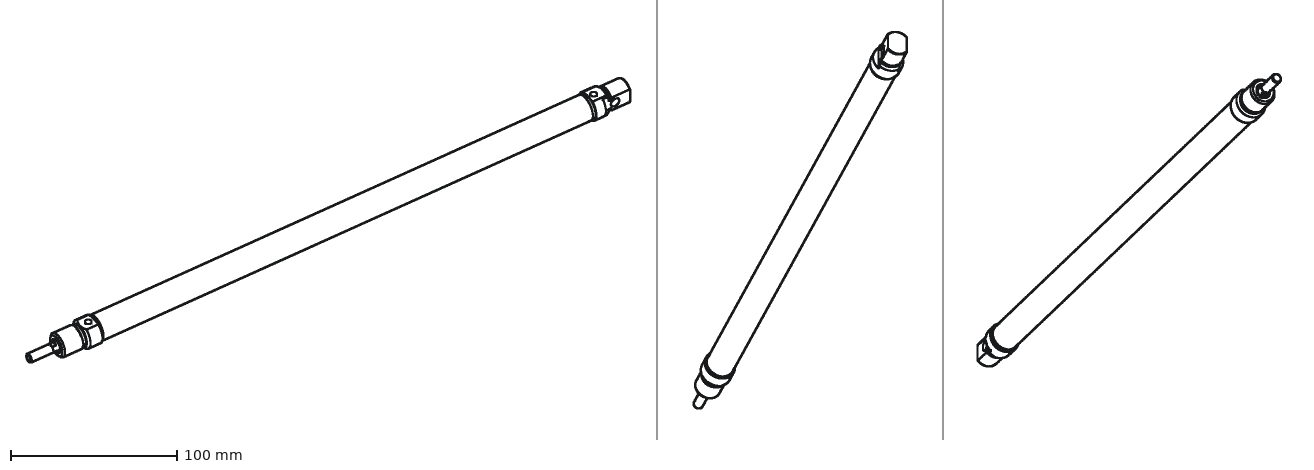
import cadquery as cq


total_length = 429.0
boss_front_y = 20.0
boss_length = 14.2
front_relief_length = 2.6
front_cap_length = 10.4
front_collar_length = 1.2
rear_shank_length = 13.6
rear_relief_length = 1.8
rear_cap_length = 11.2
rear_collar_length = 2.0

front_relief_y = boss_front_y + boss_length
front_cap_y = front_relief_y + front_relief_length
front_collar_y = front_cap_y + front_cap_length
barrel_front_y = front_collar_y + front_collar_length
rear_shank_y = total_length - rear_shank_length
rear_relief_y = rear_shank_y - rear_relief_length
rear_cap_y = rear_relief_y - rear_cap_length
barrel_rear_y = rear_cap_y - rear_collar_length

cap_diameter = 19.0
collar_diameter = 17.2
barrel_diameter = 17.27
boss_diameter = 16.0
relief_diameter = 13.7
cap_chamfer = 1.6

cap_flat_height = 8.0
port_diameter = 4.13
port_depth = 5.0
front_port_y = front_cap_y + 6.2
rear_port_y = rear_cap_y + 4.2

boss_chamfer = 1.2
mouth_steps = [(9.0, 0.8), (7.1, 1.6)]

rod_diameter = 6.0
thread_diameter = 5.9
thread_length = 16.0
thread_chamfer = 0.5
wrench_flat_width = 5.0
wrench_flat_length = 2.8

tongue_width = 12.0
tongue_length = 19.8
pivot_hole_diameter = 6.0
pivot_hole_inset = 10.9
shank_chamfer = 0.4


def cylinder(diameter, start_y, length):
    """Solid cylinder on the Y axis, from start_y towards +Y."""
    plane = cq.Workplane("XZ", origin=(0, start_y, 0))
    return plane.circle(diameter / 2).extrude(-length)


def cap_block(start_y, length, port_y, outer_end):
    """Round cap, chamfered at its outer end, with a flat and an air port on top."""
    block = cylinder(cap_diameter, start_y, length).faces(outer_end).chamfer(cap_chamfer)
    flat = cq.Workplane("XY", origin=(0, start_y + length / 2, cap_flat_height))
    block = block.cut(flat.rect(cap_diameter, length).extrude(cap_diameter))
    port = cq.Workplane("XY", origin=(0, port_y, cap_flat_height))
    return block.cut(port.circle(port_diameter / 2).extrude(-port_depth))


def make_front_cap():
    """Front cap with mounting boss, relief groove, barrel collar and rod bore."""
    boss = cylinder(boss_diameter, boss_front_y, boss_length).faces("<Y").chamfer(boss_chamfer)
    cap = cap_block(front_cap_y, front_cap_length, front_port_y, "<Y")
    cap = cap.union(boss)
    cap = cap.union(cylinder(relief_diameter, front_relief_y, front_relief_length))
    cap = cap.union(cylinder(collar_diameter, front_collar_y, front_collar_length))
    for diameter, depth in mouth_steps:
        cap = cap.cut(cylinder(diameter, boss_front_y, depth))
    return cap.cut(cylinder(rod_diameter, boss_front_y, barrel_front_y - boss_front_y))


def make_rear_cap():
    """Rear cap with barrel collar, relief groove and a flat pivot tongue."""
    shank = cylinder(boss_diameter, rear_shank_y, rear_shank_length).faces(">Y").chamfer(shank_chamfer)
    cap = cap_block(rear_cap_y, rear_cap_length, rear_port_y, ">Y")
    cap = cap.union(shank)
    cap = cap.union(cylinder(relief_diameter, rear_relief_y, rear_relief_length))
    cap = cap.union(cylinder(collar_diameter, barrel_rear_y, rear_collar_length))

    tongue_middle = (0, total_length - tongue_length / 2, 0)
    tongue = cq.Workplane("XY", origin=tongue_middle).box(tongue_width, tongue_length, cap_diameter)
    tongue_zone = cylinder(2 * cap_diameter, total_length - tongue_length, tongue_length)
    cap = cap.cut(tongue_zone.cut(tongue))

    pivot = cq.Workplane("YZ").center(total_length - pivot_hole_inset, 0)
    return cap.cut(pivot.circle(pivot_hole_diameter / 2).extrude(tongue_width, both=True))


def make_piston_rod():
    """Rod with a plain thread cylinder at its tip and two wrench flats behind it."""
    thread = cylinder(thread_diameter, 0, thread_length).faces("<Y").chamfer(thread_chamfer)
    rod = thread.union(cylinder(rod_diameter, thread_length, barrel_front_y - thread_length))
    flat_middle = (0, thread_length + wrench_flat_length / 2, 0)
    between_flats = cq.Workplane("XY", origin=flat_middle)
    between_flats = between_flats.box(rod_diameter, wrench_flat_length, wrench_flat_width)
    flat_zone = cylinder(2 * rod_diameter, thread_length, wrench_flat_length)
    return rod.cut(flat_zone.cut(between_flats))


front_cap = make_front_cap()
rear_cap = make_rear_cap()
barrel = cylinder(barrel_diameter, barrel_front_y, barrel_rear_y - barrel_front_y)
piston_rod = make_piston_rod()

result = cq.Compound.makeCompound([front_cap.val(), rear_cap.val(), barrel.val(), piston_rod.val()])